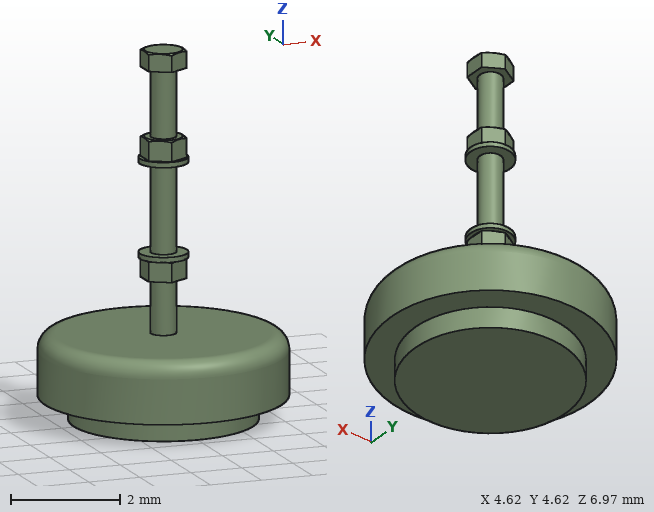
import cadquery as cq
import math

foot_diameter = 3.505
foot_height = 0.45
cap_diameter = 4.62
cap_top = 1.625
cap_fillet = 0.315

total_height = 6.97
rod_diameter = 0.48
head_height = 0.34

hex_flats = 0.745
hex_corners = hex_flats / math.cos(math.pi / 6)
crown_diameter = 0.71
crown_drop = 0.03

nut_height = 0.39
washer_diameter = 0.92
washer_height = 0.1
upper_washer_bottom = 4.845
upper_nut_bottom = upper_washer_bottom + washer_height
lower_nut_bottom = 2.66
lower_washer_bottom = lower_nut_bottom + nut_height


def cylinder(diameter, bottom, height):
    """Upright cylinder on the Z axis."""
    return cq.Workplane("XY").workplane(offset=bottom).circle(diameter / 2).extrude(height)


def crowned_hexagon(bottom, height):
    """Hexagonal prism with corners on the Y axis and a conical chamfer at its top."""
    prism = (
        cq.Workplane("XY")
        .workplane(offset=bottom)
        .transformed(rotate=(0, 0, 90))
        .polygon(6, hex_corners)
        .extrude(height)
    )
    top = bottom + height
    crown = (
        cq.Workplane("XZ")
        .moveTo(0, bottom)
        .lineTo(hex_corners / 2, bottom)
        .lineTo(hex_corners / 2, top - crown_drop)
        .lineTo(crown_diameter / 2, top)
        .lineTo(0, top)
        .close()
        .revolve(360, (0, 0, 0), (0, 1, 0))
    )
    return prism.intersect(crown)


def make_base():
    """Foot and cap in one piece, with the cap's upper edge rounded."""
    cap = cylinder(cap_diameter, foot_height, cap_top - foot_height)
    cap = cap.faces(">Z").edges().fillet(cap_fillet)
    return cylinder(foot_diameter, 0, foot_height).union(cap)


def make_bolt():
    """Rod standing on the base, in one piece with its head, nuts and washers."""
    bolt = cylinder(rod_diameter, cap_top, total_height - head_height - cap_top)
    bolt = bolt.union(crowned_hexagon(total_height - head_height, head_height))
    for nut_bottom in (lower_nut_bottom, upper_nut_bottom):
        bolt = bolt.union(crowned_hexagon(nut_bottom, nut_height))
    for washer_bottom in (lower_washer_bottom, upper_washer_bottom):
        bolt = bolt.union(cylinder(washer_diameter, washer_bottom, washer_height))
    return bolt


base = make_base()
bolt = make_bolt()

result = cq.Compound.makeCompound([base.val(), bolt.val()])